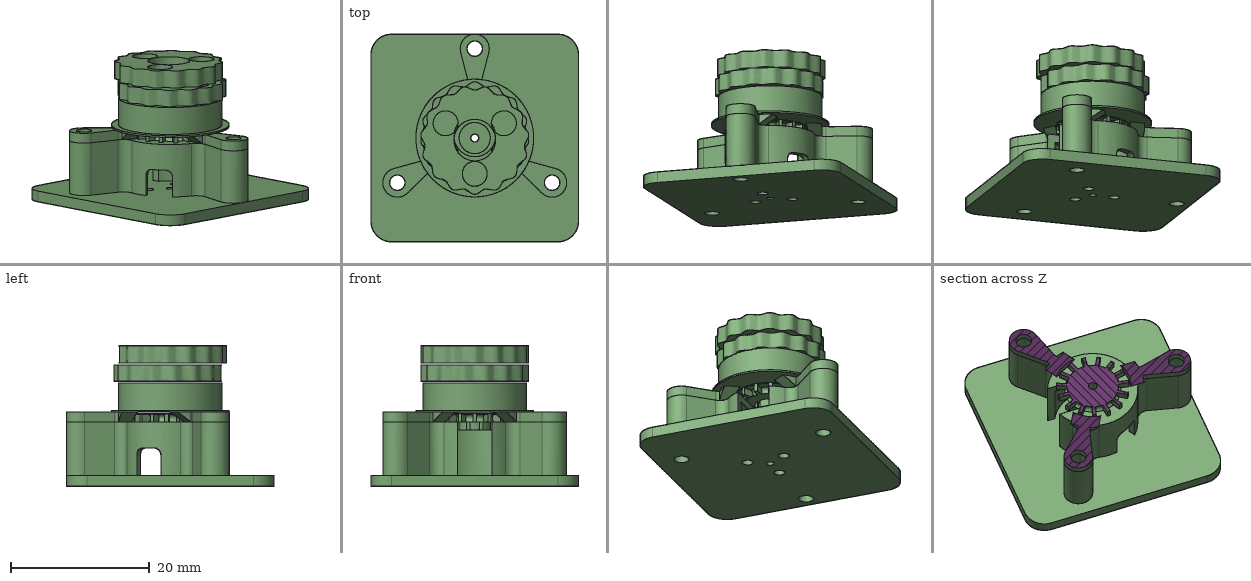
import cadquery as cq
import math

POST_ANGLES = (90, 210, 330)
GAP_ANGLES = (30, 150, 270)
POST_CIRCLE_RADIUS = 12.9
POST_RADIUS = 2.1
POST_HOLE_DIAMETER = 2.2
ARM_APEX_RADIUS = 4.5
AXIS_HOLE_DIAMETER = 1.1

PLATE_TOP = 1.6
WEB_BOTTOM = 8.15
BRACKET_TOP = 9.3
SPOOL_TOP = 10.5
ARM_TOP = 10.75
FLANGE_TOP = 10.98
DRUM_TOP = 14.95
LOWER_DISC_BOTTOM = 15.15
LOWER_DISC_TOP = 17.55
UPPER_DISC_BOTTOM = 17.8
UPPER_DISC_TOP = 20.3

PLATE_SIDE = 30.0
PLATE_CORNER_RADIUS = 3.0
PLATE_HOLE_DIAMETER = 1.6
PLATE_HOLE_CIRCLE_RADIUS = 3.3

RING_BORE_RADIUS = 5.5
WALL_THICKNESS = 1.02
BRACKET_OUTER_RADIUS = RING_BORE_RADIUS + WALL_THICKNESS
ARM_FILLET = 1.5
FRONT_OPENING_WIDTH = 4.92
ARCH_WIDTH = 4.0
ARCH_TOP = 5.52
ARCH_CORNER_RADIUS = 1.0

HUB_DIAMETER = 4.5
HUB_SLOT_WIDTH = 0.48
HUB_SLOT_DEPTH = 0.75
HUB_SLOT_OFFSETS = (-0.95, 0.95)
SPOOL_RADIUS = 5.25
SPOKE_COUNT = 15
SPOKE_WIDTH = 0.55
SPOOL_RIM_THICKNESS = 0.15
SPOOL_CORE_RADIUS = 3.65
SPOOL_GROOVE_DEPTH = 0.4

COVER_RING_RADIUS = 7.5
ARM_ROOT_BOTTOM_HALF_WIDTH = 0.9
ARM_ROOT_TOP_HALF_WIDTH = 2.82
FLANGE_DIAMETER = 17.0
DRUM_DIAMETER = 15.0
DRUM_BORE_DIAMETER = 4.5

LOBE_COUNT = 15
LOBE_MEAN_RADIUS = 7.53
ECCENTRICITY = 0.3
POINTS_PER_LOBE = 8
DISC_BORE_DIAMETER = 6.0
DISC_HOLE_DIAMETER = 3.6
DISC_HOLE_CIRCLE_RADIUS = 4.85


def polar(radius, angle):
    """Point at a radius and an angle in degrees."""
    a = math.radians(angle)
    return (radius * math.cos(a), radius * math.sin(a))


def cylinder(radius, bottom, top):
    return cq.Workplane().workplane(offset=bottom).circle(radius).extrude(top - bottom)


def holes(diameter, points, bottom, top):
    plane = cq.Workplane().workplane(offset=bottom)
    return plane.pushPoints(points).circle(diameter / 2).extrude(top - bottom)


def turned(shape, angle):
    return shape.rotate((0, 0, 0), (0, 0, 1), angle)


POST_POINTS = [polar(POST_CIRCLE_RADIUS, a) for a in POST_ANGLES]


def arm(bottom, top):
    """Arm along +X: a round end with two tangent sides running to the apex."""
    reach = POST_CIRCLE_RADIUS - ARM_APEX_RADIUS
    half_angle = math.asin(POST_RADIUS / reach)
    tangent_x = POST_CIRCLE_RADIUS - POST_RADIUS * math.sin(half_angle)
    tangent_y = POST_RADIUS * math.cos(half_angle)
    return (
        cq.Workplane()
        .workplane(offset=bottom)
        .moveTo(ARM_APEX_RADIUS, 0)
        .lineTo(tangent_x, -tangent_y)
        .threePointArc((POST_CIRCLE_RADIUS + POST_RADIUS, 0), (tangent_x, tangent_y))
        .close()
        .extrude(top - bottom)
    )


def armed_disc(radius, fillet, bottom, top):
    """Round disc with three arms, filleted where the arms leave it."""
    body = cylinder(radius, bottom, top)
    for angle in POST_ANGLES:
        body = body.union(turned(arm(bottom, top), angle))
    near_disc = cq.selectors.BoxSelector((-radius, -radius, bottom), (radius, radius, top))
    return body.edges("|Z").edges(near_disc).fillet(fillet)


def make_plate():
    """Square plate with post holes, three inner holes and an axis hole."""
    plate = cq.Workplane().box(PLATE_SIDE, PLATE_SIDE, PLATE_TOP, centered=(True, True, False))
    plate = plate.edges("|Z").fillet(PLATE_CORNER_RADIUS)
    plate = plate.cut(holes(POST_HOLE_DIAMETER, POST_POINTS, 0, PLATE_TOP))
    inner_points = [polar(PLATE_HOLE_CIRCLE_RADIUS, a) for a in POST_ANGLES]
    plate = plate.cut(holes(PLATE_HOLE_DIAMETER, inner_points, 0, PLATE_TOP))
    return plate.cut(cylinder(AXIS_HOLE_DIAMETER / 2, 0, PLATE_TOP))


def make_arch(angle):
    """Cutter for a wall window with rounded top corners, leaving along the given angle."""
    height = ARCH_TOP - PLATE_TOP
    block = cq.Workplane().box(BRACKET_OUTER_RADIUS, ARCH_WIDTH, height, centered=(False, True, False))
    block = block.edges("|X and >Z").fillet(ARCH_CORNER_RADIUS)
    return turned(block.translate((0, 0, PLATE_TOP)), angle)


def make_hub():
    """Central hub with narrow upright slots on the side of the front opening."""
    hub = cylinder(HUB_DIAMETER / 2, WEB_BOTTOM, BRACKET_TOP)
    for x in HUB_SLOT_OFFSETS:
        slot = cq.Workplane().box(
            HUB_SLOT_WIDTH, HUB_SLOT_DEPTH, BRACKET_TOP - WEB_BOTTOM, centered=(True, False, False)
        )
        hub = hub.cut(slot.translate((x, -HUB_DIAMETER / 2, WEB_BOTTOM)))
    return hub


def make_spool():
    """Spoked spool on the hub: a grooved core, radial spokes and a thin rim disc on top."""
    rim_bottom = SPOOL_TOP - SPOOL_RIM_THICKNESS
    height = rim_bottom - BRACKET_TOP
    flare_radius = SPOOL_CORE_RADIUS + SPOOL_GROOVE_DEPTH
    spool = cylinder(SPOOL_RADIUS, rim_bottom, SPOOL_TOP)
    core = (
        cq.Workplane("XZ")
        .moveTo(0, BRACKET_TOP)
        .lineTo(flare_radius, BRACKET_TOP)
        .threePointArc((SPOOL_CORE_RADIUS, BRACKET_TOP + height / 2), (flare_radius, rim_bottom))
        .lineTo(0, rim_bottom)
        .close()
        .revolve(360, (0, 0, 0), (0, 1, 0))
    )
    spool = spool.union(core)
    spoke = cq.Workplane().box(SPOOL_RADIUS, SPOKE_WIDTH, height, centered=(False, True, False))
    spoke = spoke.translate((0, 0, BRACKET_TOP))
    spokes = cq.Workplane()
    for i in range(SPOKE_COUNT):
        spokes = spokes.add(turned(spoke, 270 + i * 360 / SPOKE_COUNT))
    spokes = spokes.combine().intersect(cylinder(SPOOL_RADIUS, BRACKET_TOP, rim_bottom))
    return spool.union(spokes)


def make_bracket():
    """Ring wall with three posts, and a web inside that carries the hub and the spool."""
    bracket = armed_disc(BRACKET_OUTER_RADIUS, ARM_FILLET, PLATE_TOP, BRACKET_TOP)
    bracket = bracket.cut(cylinder(RING_BORE_RADIUS, PLATE_TOP, WEB_BOTTOM))
    bracket = bracket.cut(holes(POST_HOLE_DIAMETER, POST_POINTS, PLATE_TOP, BRACKET_TOP))
    for angle in GAP_ANGLES[:2]:
        bracket = bracket.cut(make_arch(angle))
    opening = cq.Workplane().box(
        FRONT_OPENING_WIDTH, BRACKET_OUTER_RADIUS, BRACKET_TOP - PLATE_TOP, centered=(True, False, False)
    )
    bracket = bracket.cut(opening.translate((0, -BRACKET_OUTER_RADIUS, PLATE_TOP)))
    bracket = bracket.union(make_hub()).union(make_spool())
    return bracket.cut(cylinder(AXIS_HOLE_DIAMETER / 2, WEB_BOTTOM, SPOOL_TOP))


def make_arm_root(angle):
    """Wedge that carries the flange at one arm and widens upward."""
    return turned(
        cq.Workplane("YZ")
        .moveTo(-ARM_ROOT_BOTTOM_HALF_WIDTH, BRACKET_TOP)
        .lineTo(ARM_ROOT_BOTTOM_HALF_WIDTH, BRACKET_TOP)
        .lineTo(ARM_ROOT_TOP_HALF_WIDTH, ARM_TOP)
        .lineTo(-ARM_ROOT_TOP_HALF_WIDTH, ARM_TOP)
        .close()
        .extrude(COVER_RING_RADIUS),
        angle,
    )


def make_cover():
    """Three arms on the posts, joined by the flange and the drum above them."""
    ring = cylinder(COVER_RING_RADIUS, BRACKET_TOP, ARM_TOP)
    arms = armed_disc(BRACKET_OUTER_RADIUS, ARM_FILLET, BRACKET_TOP, ARM_TOP).cut(ring)
    for angle in POST_ANGLES:
        arms = arms.union(ring.intersect(make_arm_root(angle)))
    arms = arms.cut(cylinder(RING_BORE_RADIUS, BRACKET_TOP, ARM_TOP))
    cover = arms.union(cylinder(FLANGE_DIAMETER / 2, ARM_TOP, FLANGE_TOP))
    cover = cover.union(cylinder(DRUM_DIAMETER / 2, FLANGE_TOP, DRUM_TOP))
    cover = cover.cut(cylinder(DRUM_BORE_DIAMETER / 2, ARM_TOP, DRUM_TOP))
    return cover.cut(holes(POST_HOLE_DIAMETER, POST_POINTS, BRACKET_TOP, ARM_TOP))


def make_lobed_disc(bottom, top):
    """Lobed disc shifted to -Y by the eccentricity, with one lobe pointing to -Y."""
    count = LOBE_COUNT * POINTS_PER_LOBE
    outline = []
    for i in range(count):
        angle = i * 360 / count
        radius = LOBE_MEAN_RADIUS + ECCENTRICITY * math.cos(math.radians(LOBE_COUNT * angle))
        outline.append(polar(radius, angle - 90))
    plane = cq.Workplane().workplane(offset=bottom)
    disc = plane.spline(outline, periodic=True).close().extrude(top - bottom)
    hole_points = [polar(DISC_HOLE_CIRCLE_RADIUS, a) for a in GAP_ANGLES]
    disc = disc.cut(holes(DISC_HOLE_DIAMETER, hole_points, bottom, top))
    disc = disc.cut(cylinder(DISC_BORE_DIAMETER / 2, bottom, top))
    return disc.translate((0, -ECCENTRICITY, 0))


plate = make_plate()
bracket = make_bracket()
cover = make_cover()
lower_disc = turned(make_lobed_disc(LOWER_DISC_BOTTOM, LOWER_DISC_TOP), 180)
upper_disc = make_lobed_disc(UPPER_DISC_BOTTOM, UPPER_DISC_TOP)

result = cq.Compound.makeCompound(
    [plate.val(), bracket.val(), cover.val(), lower_disc.val(), upper_disc.val()]
)